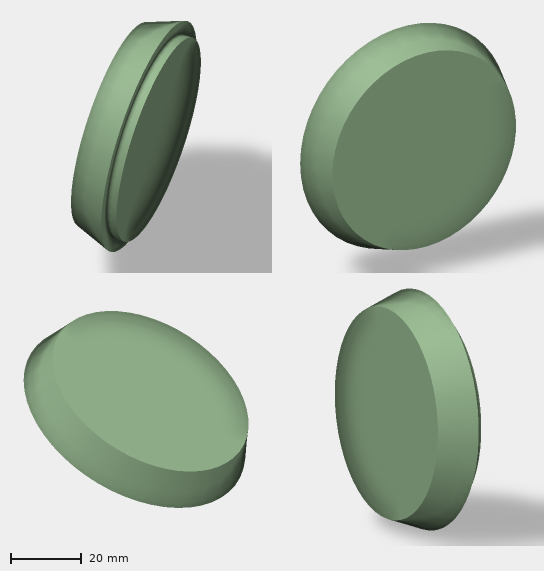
import cadquery as cq

body_diameter = 61.0
rim_overhang = 4.0
flare_length = 11.0
spigot_length = 3.0

body_radius = body_diameter / 2
rim_radius = body_radius + rim_overhang


def make_flare():
    """Conical body, widening from the flat face at X = 0 to the rim."""
    return (
        cq.Workplane("YZ")
        .circle(body_radius)
        .workplane(offset=flare_length)
        .circle(rim_radius)
        .loft(combine=True)
    )


def make_spigot():
    """Plain cylinder standing behind the rim."""
    return cq.Workplane("YZ").workplane(offset=flare_length).circle(body_radius).extrude(spigot_length)


result = make_flare().union(make_spigot())